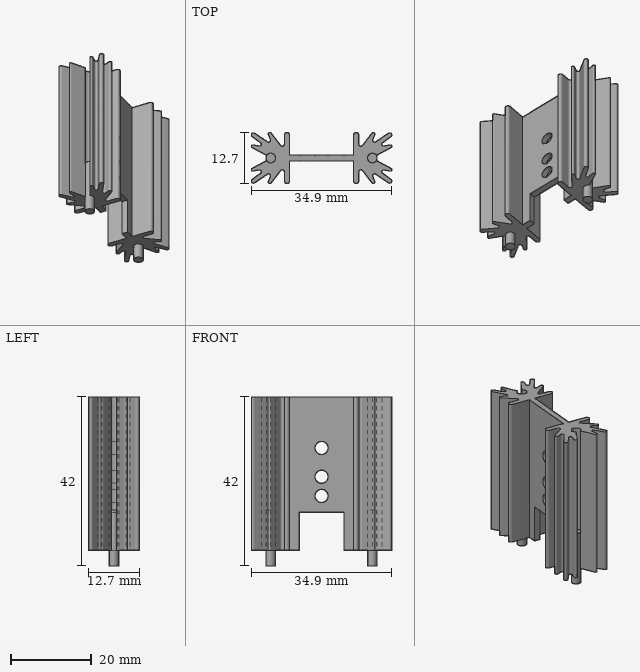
import cadquery as cq
import math

total_height = 42.05
pin_protrusion = 3.95
sink_height = total_height - pin_protrusion
half_width = 17.45
half_depth = 6.35

web_thickness = 1.6
web_half_length = 7.9
hole_diameter = 3.2
hole_heights = (13.5, 18.25, 25.4)
notch_width = 11.05
notch_height = 9.42

pin_diameter = 2.4
pin_radius = pin_diameter / 2
pin_length = 13.95
pin_offset = 12.6
bore_mouth_width = 1.25

straight_tip_radius = 0.67
inner_tip_radius = 0.4
corner_tip_radius = 0.55
outer_tip_radius = 0.38
straight_valley_radius = 0.5
inner_valley_radius = 0.45
outer_valley_radius = 0.4

straight_fin_x = web_half_length + straight_tip_radius
straight_valley_x = web_half_length + 2 * straight_tip_radius + straight_valley_radius
fin_rounds = [
    (straight_fin_x, half_depth - straight_tip_radius, straight_tip_radius),
    (straight_valley_x, 3.45, straight_valley_radius),
    (12.83, half_depth - inner_tip_radius, inner_tip_radius),
    (13.15, 4.4, inner_valley_radius),
    (half_width - corner_tip_radius, 5.7, corner_tip_radius),
    (15.4, 3.4, outer_valley_radius),
    (half_width - outer_tip_radius, 2.9, outer_tip_radius),
]


def crossing_tangent(start, end, turn):
    """Ends of the line that leaves one circle and meets the next on its opposite side.

    turn is 1 when the outline runs clockwise around the start circle, otherwise -1.
    """
    x1, y1, r1 = start
    x2, y2, r2 = end
    heading = math.atan2(y2 - y1, x2 - x1)
    distance = math.hypot(x2 - x1, y2 - y1)
    normal = heading + turn * math.acos((r1 + r2) / distance)
    leave = (x1 + r1 * math.cos(normal), y1 + r1 * math.sin(normal))
    meet = (x2 - r2 * math.cos(normal), y2 - r2 * math.sin(normal))
    return leave, meet


def arc_middle(circle, start, end, turn):
    """Middle point of the arc from start to end, clockwise when turn is 1."""
    x, y, radius = circle
    start_angle = math.atan2(start[1] - y, start[0] - x)
    end_angle = math.atan2(end[1] - y, end[0] - x)
    sweep = (turn * (start_angle - end_angle)) % (2 * math.pi)
    middle = start_angle - turn * sweep / 2
    return (x + radius * math.cos(middle), y + radius * math.sin(middle))


def make_fin_chain():
    """Wire around the fins with positive X and Y, from the web face to the back of the bore."""
    mouth_y = bore_mouth_width / 2
    mouth_x = pin_offset + math.sqrt(pin_radius**2 - mouth_y**2)
    mouth = (mouth_x, mouth_y)
    bore_back = (pin_offset - pin_radius, 0)
    bore = (pin_offset, 0, pin_radius)

    arrival = (web_half_length, half_depth - straight_tip_radius)
    chain = cq.Workplane("XY").moveTo(web_half_length, web_thickness / 2).lineTo(*arrival)
    following = fin_rounds[1:] + [(mouth_x, mouth_y, 0)]
    turn = 1
    for circle, next_circle in zip(fin_rounds, following):
        leave, meet = crossing_tangent(circle, next_circle, turn)
        chain = chain.threePointArc(arc_middle(circle, arrival, leave, turn), leave).lineTo(*meet)
        arrival = meet
        turn = -turn
    bore_middle = arc_middle(bore, mouth, bore_back, -1)
    return chain.threePointArc(bore_middle, bore_back).wire().val()


def make_heat_sink():
    right_back = make_fin_chain()
    right_front = right_back.mirror("XZ")
    left_back = right_back.mirror("YZ")
    left_front = right_front.mirror("YZ")
    web_faces = [
        cq.Edge.makeLine(cq.Vector(-web_half_length, y), cq.Vector(web_half_length, y))
        for y in (-web_thickness / 2, web_thickness / 2)
    ]
    outline = cq.Wire.combine([right_back, right_front, left_back, left_front, *web_faces])[0]
    sink = cq.Workplane("XY").add(outline).toPending().extrude(sink_height, clean=False)

    holes = (
        cq.Workplane("XZ", origin=(0, web_thickness, 0))
        .pushPoints([(0, height) for height in hole_heights])
        .circle(hole_diameter / 2)
        .extrude(2 * web_thickness)
    )
    notch = cq.Workplane("XY").rect(notch_width, 2 * web_thickness).extrude(notch_height)
    return sink.cut(holes, clean=False).cut(notch, clean=False)


def make_pin(x):
    return (
        cq.Workplane("XY", origin=(x, 0, -pin_protrusion))
        .circle(pin_radius)
        .extrude(pin_length)
    )


heat_sink = make_heat_sink()
pins = [make_pin(side * pin_offset) for side in (-1, 1)]

result = cq.Compound.makeCompound([heat_sink.val(), *[pin.val() for pin in pins]])